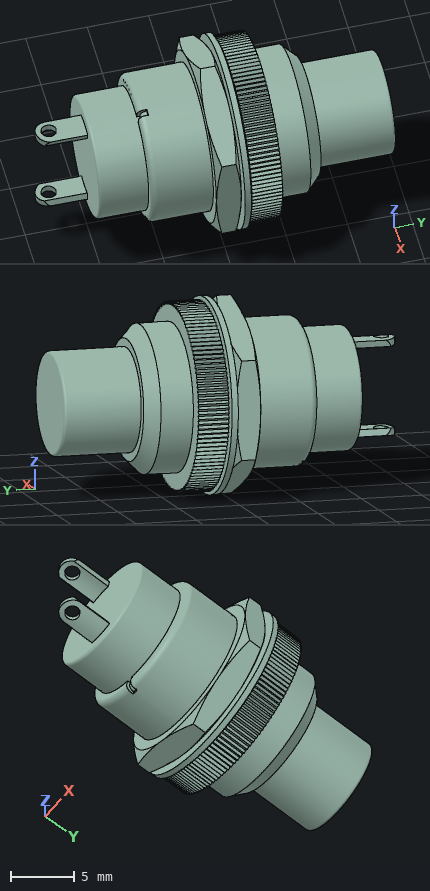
import cadquery as cq
import math


THREAD_RADIUS = 12.0 / 2
BORE_RADIUS = 10.02 / 2
HOUSING_LENGTH = 14.05
FRONT_CHAMFER = 1.1
REAR_FILLET = 0.5

NOTCH_WIDTH = 0.5
NOTCH_DEPTH = 0.25
NOTCH_ANGLE = 15

CAP_RADIUS = 8.4 / 2
CAP_LENGTH = 6.28
CAP_FILLET = 0.25
BASE_RADIUS = BORE_RADIUS
BASE_LENGTH = 4.0
BASE_FILLET = 0.25
SHOULDER_Y = HOUSING_LENGTH - FRONT_CHAMFER

TERMINAL_OUTER_RADIUS = 4.0
TERMINAL_THICKNESS = 0.6
TERMINAL_WIDTH = 2.18
TERMINAL_LENGTH = 4.0
TERMINAL_HOLE_DIAMETER = 1.2

NUT_REAR_Y = 5.0
NUT_THICKNESS = 2.05
NUT_ACROSS_FLATS = 14.0
NUT_ACROSS_CORNERS = 16.0
NUT_SIDE_HEIGHT = NUT_ACROSS_CORNERS / 2
NUT_FACE_DIAMETER = 13.92
NUT_CHAMFER_ANGLE = 22

WASHER_DIAMETER = 15.8
WASHER_THICKNESS = 0.5
NUT_TO_WASHER_GAP = 0.08
WASHER_REAR_Y = NUT_REAR_Y + NUT_THICKNESS + NUT_TO_WASHER_GAP

WASHER_TO_KNURL_GAP = 0.15
KNURL_REAR_Y = WASHER_REAR_Y + WASHER_THICKNESS + WASHER_TO_KNURL_GAP
KNURL_THICKNESS = 2.5
KNURL_RADIUS = 15.2 / 2
KNURL_DEPTH = 0.23
KNURL_TEETH = 120


def disc(radius, rear_y, thickness):
    return cq.Workplane("XZ", origin=(0, rear_y, 0)).circle(radius).extrude(-thickness)


def thread_hole(rear_y, thickness):
    """The hole with which a nut or washer sits on the housing thread."""
    return disc(THREAD_RADIUS, rear_y, thickness)


def filleted_rear_end(radius, fillet, rear_y, front_y):
    """A round bar whose rear edge is filleted."""
    bar = disc(radius, rear_y, front_y - rear_y)
    return bar.faces("<Y").edges().fillet(fillet)


def make_notch_cutter():
    """A radial slab behind a floor that is the rounded rim moved in by the notch depth."""
    slab_length = 2 * THREAD_RADIUS + 0.57
    floor_y = NOTCH_DEPTH
    end_y = REAR_FILLET + NOTCH_DEPTH
    slab = cq.Workplane("XY").box(NOTCH_WIDTH, end_y, slab_length).translate((0, end_y / 2, 0))
    floor = filleted_rear_end(THREAD_RADIUS - NOTCH_DEPTH, REAR_FILLET, floor_y, HOUSING_LENGTH)
    return slab.cut(floor).rotate((0, 0, 0), (0, 1, 0), NOTCH_ANGLE)


def make_housing():
    body = filleted_rear_end(THREAD_RADIUS, REAR_FILLET, 0, HOUSING_LENGTH)
    body = body.faces(">Y").edges().chamfer(FRONT_CHAMFER)
    body = body.cut(disc(BORE_RADIUS, 0, SHOULDER_Y))
    body = body.cut(disc(CAP_RADIUS, 0, HOUSING_LENGTH))
    return body.cut(make_notch_cutter())


def make_core():
    base = filleted_rear_end(BASE_RADIUS, BASE_FILLET, -BASE_LENGTH, SHOULDER_Y)
    cap = disc(CAP_RADIUS, 0, HOUSING_LENGTH + CAP_LENGTH)
    cap = cap.faces(">Y").edges().fillet(CAP_FILLET)
    return base.union(cap)


def make_terminal(turn):
    """A lug with radial sides and a round tip, curved around the Y axis; turn is in degrees."""
    root_y = -BASE_LENGTH
    tip_y = root_y - TERMINAL_LENGTH
    tip_radius = TERMINAL_WIDTH / 2
    hole_y = tip_y + tip_radius
    inner_radius = TERMINAL_OUTER_RADIUS - TERMINAL_THICKNESS
    half_angle = math.degrees(math.asin(tip_radius / TERMINAL_OUTER_RADIUS))
    lug = (
        cq.Workplane("XY")
        .moveTo(inner_radius, tip_y)
        .rect(TERMINAL_THICKNESS, TERMINAL_LENGTH, centered=False)
        .revolve(2 * half_angle, (0, 0, 0), (0, 1, 0))
        .rotate((0, 0, 0), (0, 1, 0), -90 - half_angle)
    )
    outline = (
        cq.Workplane("XY")
        .moveTo(-tip_radius, root_y)
        .lineTo(-tip_radius, hole_y)
        .threePointArc((0, tip_y), (tip_radius, hole_y))
        .lineTo(tip_radius, root_y)
        .close()
        .extrude(TERMINAL_OUTER_RADIUS)
    )
    hole = (
        cq.Workplane("XY")
        .center(0, hole_y)
        .circle(TERMINAL_HOLE_DIAMETER / 2)
        .extrude(TERMINAL_OUTER_RADIUS)
    )
    return lug.intersect(outline).cut(hole).rotate((0, 0, 0), (0, 1, 0), turn)


def make_hex_nut():
    front_y = NUT_REAR_Y + NUT_THICKNESS
    half_flats = NUT_ACROSS_FLATS / 2
    half_side = NUT_SIDE_HEIGHT / 2
    corner_z = NUT_ACROSS_CORNERS / 2
    corners = [
        (0, corner_z),
        (half_flats, half_side),
        (half_flats, -half_side),
        (0, -corner_z),
        (-half_flats, -half_side),
        (-half_flats, half_side),
    ]
    prism = (
        cq.Workplane("XZ", origin=(0, NUT_REAR_Y, 0))
        .polyline(corners)
        .close()
        .extrude(-NUT_THICKNESS)
    )
    cone_radius = math.hypot(half_flats, half_side)
    face_radius = NUT_FACE_DIAMETER / 2
    chamfer_height = (cone_radius - face_radius) * math.tan(math.radians(NUT_CHAMFER_ANGLE))
    double_cone = (
        cq.Workplane("XY")
        .moveTo(0, NUT_REAR_Y)
        .lineTo(face_radius, NUT_REAR_Y)
        .lineTo(cone_radius, NUT_REAR_Y + chamfer_height)
        .lineTo(cone_radius, front_y - chamfer_height)
        .lineTo(face_radius, front_y)
        .lineTo(0, front_y)
        .close()
        .revolve(360, (0, 0, 0), (0, 1, 0))
    )
    return prism.intersect(double_cone).cut(thread_hole(NUT_REAR_Y, NUT_THICKNESS))


def make_washer():
    washer = disc(WASHER_DIAMETER / 2, WASHER_REAR_Y, WASHER_THICKNESS)
    return washer.cut(thread_hole(WASHER_REAR_Y, WASHER_THICKNESS))


def make_knurled_nut():
    """A round nut whose rim is a ring of pointed teeth."""
    rim = []
    for step in range(2 * KNURL_TEETH):
        radius = KNURL_RADIUS - KNURL_DEPTH * (step % 2)
        angle = math.pi * step / KNURL_TEETH
        rim.append((radius * math.cos(angle), radius * math.sin(angle)))
    ring = cq.Workplane("XZ", origin=(0, KNURL_REAR_Y, 0)).polyline(rim).close().extrude(-KNURL_THICKNESS)
    return ring.cut(thread_hole(KNURL_REAR_Y, KNURL_THICKNESS))


housing = make_housing()
core = make_core()
hex_nut = make_hex_nut()
washer = make_washer()
knurled_nut = make_knurled_nut()
terminals = [make_terminal(turn) for turn in (0, 180)]

result = cq.Compound.makeCompound(
    [
        housing.val(),
        core.val(),
        hex_nut.val(),
        washer.val(),
        knurled_nut.val(),
        *[terminal.val() for terminal in terminals],
    ]
)